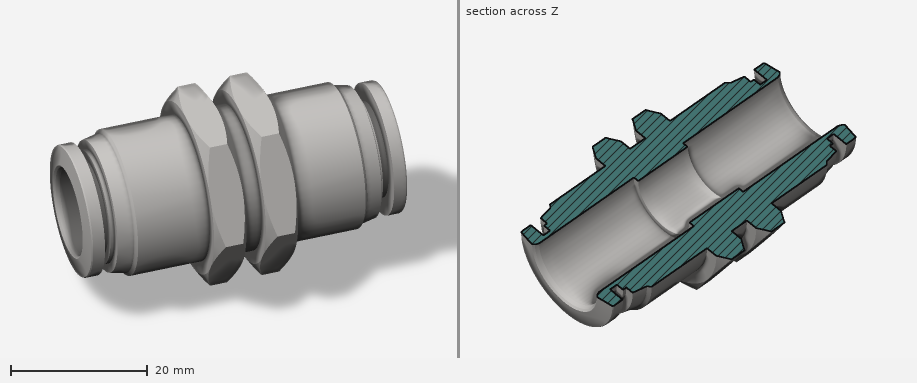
import cadquery as cq
import math

length = 49.5
half_length = length / 2

body_radius = 11.0
shoulder_radius = 10.45
collar_radius = 9.95
face_radius = 9.85
step_radius = 8.55
neck_radius = 7.25

face_cone_depth = 0.45
rim_depth = 0.65
collar_depth = 2.48
neck_depth = 3.75
step_depth = 4.4
taper_depth = 6.8
shoulder_depth = 7.25

through_radius = 5.5
socket_radius = 6.45
lead_in_radius = 6.7
mouth_radius = 7.0
mouth_chamfer = mouth_radius - lead_in_radius
lead_in_length = 0.6
socket_depth = 19.8

across_flats = 26.0
across_corners = across_flats / math.cos(math.radians(30))
nut_thickness = 5.0
nut_gap = 2.95
nut_chamfer_angle = 30.0


def hollow_body():
    """Revolve the hollow body from one end profile and its mirror image."""
    profile_by_depth = [
        (body_radius, shoulder_depth),
        (shoulder_radius, taper_depth),
        (collar_radius, step_depth),
        (step_radius, step_depth),
        (step_radius, neck_depth),
        (neck_radius, neck_depth),
        (neck_radius, collar_depth),
        (collar_radius, collar_depth),
        (collar_radius, rim_depth),
        (face_radius, face_cone_depth),
        (mouth_radius, 0),
        (lead_in_radius, mouth_chamfer),
        (socket_radius, mouth_chamfer + lead_in_length),
        (socket_radius, socket_depth),
        (through_radius, socket_depth),
    ]
    upper_end = [(radius, half_length - depth) for radius, depth in profile_by_depth]
    lower_end = [(radius, -y) for radius, y in reversed(upper_end)]
    profile = cq.Workplane("XY").polyline(upper_end + lower_end).close()
    return profile.revolve(360, (0, 0), (0, 1))


def nut():
    """Make the +Y hexagonal nut, corners chamfered on both faces, bored for the body."""
    near_face = nut_gap / 2
    far_face = near_face + nut_thickness
    corner_radius = across_corners / 2
    face_circle_radius = across_flats / 2
    chamfer_depth = (corner_radius - face_circle_radius) * math.tan(math.radians(nut_chamfer_angle))
    hexagon = (
        cq.Workplane("XZ", origin=(0, far_face, 0))
        .polygon(6, across_corners)
        .extrude(nut_thickness)
    )
    chamfered_ring = (
        cq.Workplane("XY")
        .polyline([
            (body_radius, near_face),
            (face_circle_radius, near_face),
            (corner_radius, near_face + chamfer_depth),
            (corner_radius, far_face - chamfer_depth),
            (face_circle_radius, far_face),
            (body_radius, far_face),
        ])
        .close()
        .revolve(360, (0, 0), (0, 1))
    )
    return hexagon.intersect(chamfered_ring)


upper_nut = nut()
lower_nut = upper_nut.mirror("XZ")
result = hollow_body().union(upper_nut).union(lower_nut)